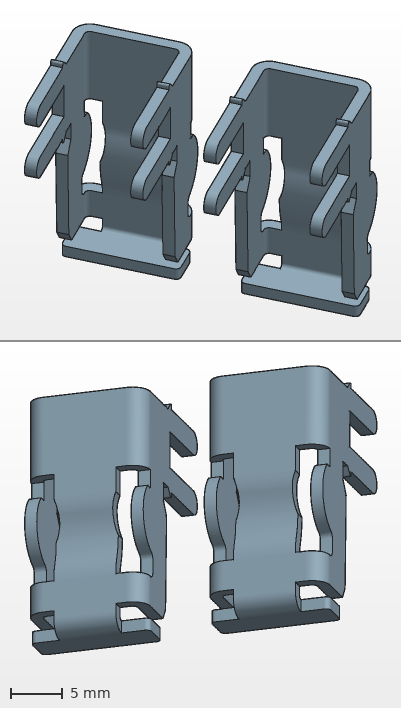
import cadquery as cq
import math


DIAGONAL = math.sqrt(0.5)

TOTAL_LENGTH = 30.6
CLIP_WIDTH = 12.18
CLIP_PITCH = TOTAL_LENGTH - CLIP_WIDTH
TOTAL_HEIGHT = 25.4
SHEET = 1.25
BEND_INNER_RADIUS = 0.55
BEND_OUTER_RADIUS = BEND_INNER_RADIUS + SHEET
CHEEK_REAR = -BEND_OUTER_RADIUS

HEAD_HALF = 4.05
BARB_RISE_START = -7.07
BARB_FRONT = -8.15
BARB_NOSE_RADIUS = 0.2
BARB_SHARP_HALF = HEAD_HALF + BARB_RISE_START - BARB_FRONT
BARB_HALF = BARB_SHARP_HALF - math.sqrt(2) * BARB_NOSE_RADIUS
HEAD_MID = TOTAL_HEIGHT - BARB_HALF
PRONG_WIDTH = 2.45
PRONG_GAP = 3.7
PRONG_MID = (PRONG_GAP + PRONG_WIDTH) / 2
PRONG_ROOT = -7.7
PRONG_TIP = -15.75
HEAD_TOP = HEAD_MID + HEAD_HALF
HEAD_BOTTOM = HEAD_MID - HEAD_HALF

LEG_BOTTOM = 2.48
LEG_NECK_BOTTOM = 14.7
NECK_FRONT = -5.75
LEG_UPPER_CORNER = (-6.67, 13.38)
LEG_LOWER_CORNER = (-6.37, 3.67)
LEG_BOTTOM_FRONT = -5.57
LOBE_REAR = 0.28
LOBE_RADIUS = 3.9
LOBE_Y = LOBE_REAR - LOBE_RADIUS
LOBE_Z = 11.75
BAND_TOP = 5.57
RELIEF_FRONT = -2.57
RELIEF_RADIUS = 0.65

STRIP_WIDTH = 6.37
BOW_BOTTOM = BAND_TOP
BOW_TOP = 14.02
BOW_DEPTH = 0.73
BOW_MID = (BOW_BOTTOM + BOW_TOP) / 2
BOW_END_HEIGHT = 1.35
WAIST_DEPTH = 0.43

FOOT_BEND_INNER_RADIUS = 0.4
FOOT_BEND_OUTER_RADIUS = FOOT_BEND_INNER_RADIUS + SHEET
FOOT_FRONT = -5.15
FOOT_CORNER_RADIUS = 0.52


def extrude_across(outline, width):
    """Extrude a closed YZ outline symmetrically about X = 0."""
    return outline.extrude(width / 2, both=True)


def back_band(bottom, top):
    """Back wall with its two rounded bends, reaching as far as the flat cheeks."""
    half = CLIP_WIDTH / 2
    bend_x = half - BEND_OUTER_RADIUS
    outer_mid = (bend_x + BEND_OUTER_RADIUS * DIAGONAL, CHEEK_REAR + BEND_OUTER_RADIUS * DIAGONAL)
    inner_mid = (bend_x + BEND_INNER_RADIUS * DIAGONAL, CHEEK_REAR + BEND_INNER_RADIUS * DIAGONAL)
    return (
        cq.Workplane("XY", origin=(0, 0, bottom))
        .moveTo(0, 0)
        .lineTo(bend_x, 0)
        .threePointArc(outer_mid, (half, CHEEK_REAR))
        .lineTo(half - SHEET, CHEEK_REAR)
        .threePointArc(inner_mid, (bend_x, -SHEET))
        .lineTo(0, -SHEET)
        .mirrorY()
        .extrude(top - bottom)
    )


def barb():
    """Ramped barb with a rounded nose on the upper edge of the head."""
    outline = (
        cq.Workplane("YZ", origin=(0, 0, HEAD_MID))
        .moveTo(BARB_RISE_START, HEAD_HALF)
        .lineTo(BARB_FRONT, BARB_SHARP_HALF)
        .lineTo(BARB_FRONT, PRONG_MID)
        .lineTo(BARB_RISE_START, PRONG_MID)
        .close()
    )
    return extrude_across(outline, CLIP_WIDTH).edges(">Z").fillet(BARB_NOSE_RADIUS)


def prong():
    """Upper prong with a full-round tip."""
    radius = PRONG_WIDTH / 2
    outline = (
        cq.Workplane("YZ", origin=(0, 0, HEAD_MID + PRONG_MID))
        .moveTo(PRONG_ROOT, radius)
        .lineTo(PRONG_TIP + radius, radius)
        .threePointArc((PRONG_TIP, 0), (PRONG_TIP + radius, -radius))
        .lineTo(PRONG_ROOT, -radius)
        .close()
    )
    return extrude_across(outline, CLIP_WIDTH)


def head():
    """Upper flat of the cheeks with two prongs and two barbs, across the full width."""
    plate_outline = (
        cq.Workplane("YZ")
        .moveTo(CHEEK_REAR, HEAD_TOP)
        .lineTo(PRONG_ROOT, HEAD_TOP)
        .lineTo(PRONG_ROOT, HEAD_BOTTOM)
        .lineTo(CHEEK_REAR, HEAD_BOTTOM)
        .close()
    )
    upper = prong().union(barb())
    lower = upper.mirror("XY", (0, 0, HEAD_MID))
    return extrude_across(plate_outline, CLIP_WIDTH).union(upper).union(lower)


def leg():
    """Lower flat of the cheeks with the rear lobe and the relief below it, across the full width."""
    shoulder_y = LOBE_Y + math.sqrt(LOBE_RADIUS**2 - (LEG_NECK_BOTTOM - LOBE_Z) ** 2)
    lobe_end_z = LOBE_Z - math.sqrt(LOBE_RADIUS**2 - (RELIEF_FRONT - LOBE_Y) ** 2)
    outline = (
        cq.Workplane("YZ")
        .moveTo(CHEEK_REAR, HEAD_BOTTOM)
        .lineTo(NECK_FRONT, HEAD_BOTTOM)
        .lineTo(NECK_FRONT, LEG_NECK_BOTTOM)
        .lineTo(*LEG_UPPER_CORNER)
        .lineTo(*LEG_LOWER_CORNER)
        .lineTo(LEG_BOTTOM_FRONT, LEG_BOTTOM)
        .lineTo(CHEEK_REAR, LEG_BOTTOM)
        .lineTo(CHEEK_REAR, BAND_TOP)
        .lineTo(RELIEF_FRONT, BAND_TOP)
        .lineTo(RELIEF_FRONT, lobe_end_z)
        .threePointArc((LOBE_REAR, LOBE_Z), (shoulder_y, LEG_NECK_BOTTOM))
        .lineTo(CHEEK_REAR, LEG_NECK_BOTTOM)
        .close()
    )
    reach = RELIEF_RADIUS / 2
    relief_corners = cq.selectors.BoxSelector(
        (-reach, RELIEF_FRONT - reach, BAND_TOP - reach),
        (reach, RELIEF_FRONT + reach, lobe_end_z + reach),
    )
    return extrude_across(outline, CLIP_WIDTH).edges("|X").edges(relief_corners).fillet(RELIEF_RADIUS)


def cheeks():
    """The two side walls: the head and leg shape without the space between the walls."""
    gap = CLIP_WIDTH - 2 * SHEET
    between = cq.Workplane("XY").box(gap, 2 * TOTAL_HEIGHT, 2 * TOTAL_HEIGHT)
    return head().union(leg()).cut(between)


def strip():
    """Centre strip from the upper wall down to the foot bend, with a forward bow and a waist."""
    half_height = (BOW_TOP - BOW_BOTTOM) / 2
    tilt = 2 * math.atan(BOW_DEPTH / half_height)
    run_in = BOW_END_HEIGHT * math.tan(tilt / 2)
    front_y = -SHEET - run_in
    rear_y = front_y + SHEET * math.cos(tilt)
    front_half = half_height - BOW_END_HEIGHT
    rear_half = front_half - SHEET * math.sin(tilt)
    outline = (
        cq.Workplane("YZ")
        .moveTo(-SHEET, FOOT_BEND_OUTER_RADIUS)
        .lineTo(-SHEET, BOW_BOTTOM)
        .tangentArcPoint((front_y, BOW_MID - front_half), relative=False)
        .tangentArcPoint((front_y, BOW_MID + front_half), relative=False)
        .tangentArcPoint((-SHEET, BOW_TOP), relative=False)
        .lineTo(-SHEET, HEAD_BOTTOM)
        .lineTo(0, HEAD_BOTTOM)
        .lineTo(0, BOW_TOP)
        .tangentArcPoint((rear_y, BOW_MID + rear_half), relative=False)
        .tangentArcPoint((rear_y, BOW_MID - rear_half), relative=False)
        .tangentArcPoint((0, BOW_BOTTOM), relative=False)
        .lineTo(0, FOOT_BEND_OUTER_RADIUS)
        .close()
    )
    body = extrude_across(outline, STRIP_WIDTH)
    edge = STRIP_WIDTH / 2
    waist_z = (BOW_TOP + BOW_MID) / 2
    bow_reach = SHEET + BOW_DEPTH
    for side in (-1, 1):
        notch = (
            cq.Workplane("XZ")
            .moveTo(side * edge, BOW_TOP)
            .threePointArc((side * (edge - WAIST_DEPTH), waist_z), (side * edge, BOW_MID))
            .close()
            .extrude(2 * bow_reach, both=True)
        )
        body = body.cut(notch)
    return body


def foot():
    """Foot plate with rounded corners, and the bend that joins it to the strip."""
    length = -FOOT_BEND_OUTER_RADIUS - FOOT_FRONT
    plate = (
        cq.Workplane("XY", origin=(0, FOOT_FRONT + length / 2, 0))
        .rect(CLIP_WIDTH, length)
        .extrude(SHEET)
        .edges("|Z")
        .fillet(FOOT_CORNER_RADIUS)
    )
    centre = FOOT_BEND_OUTER_RADIUS
    inner_mid = centre - FOOT_BEND_INNER_RADIUS * DIAGONAL
    outer_mid = centre - FOOT_BEND_OUTER_RADIUS * DIAGONAL
    bend_outline = (
        cq.Workplane("YZ")
        .moveTo(-SHEET, centre)
        .threePointArc((-inner_mid, inner_mid), (-centre, SHEET))
        .lineTo(-centre, 0)
        .threePointArc((-outer_mid, outer_mid), (0, centre))
        .close()
    )
    return plate.union(extrude_across(bend_outline, STRIP_WIDTH))


def make_clip():
    """One clip: cheeks, back bands, centre strip and foot as a single sheet part."""
    return (
        cheeks()
        .union(back_band(HEAD_BOTTOM, HEAD_TOP))
        .union(back_band(LEG_BOTTOM, BAND_TOP))
        .union(strip())
        .union(foot())
    )


clips = []
for side in (-1, 1):
    clip = make_clip().translate((side * CLIP_PITCH / 2, 0, 0))
    clips.append(clip.val())

result = cq.Compound.makeCompound(clips)